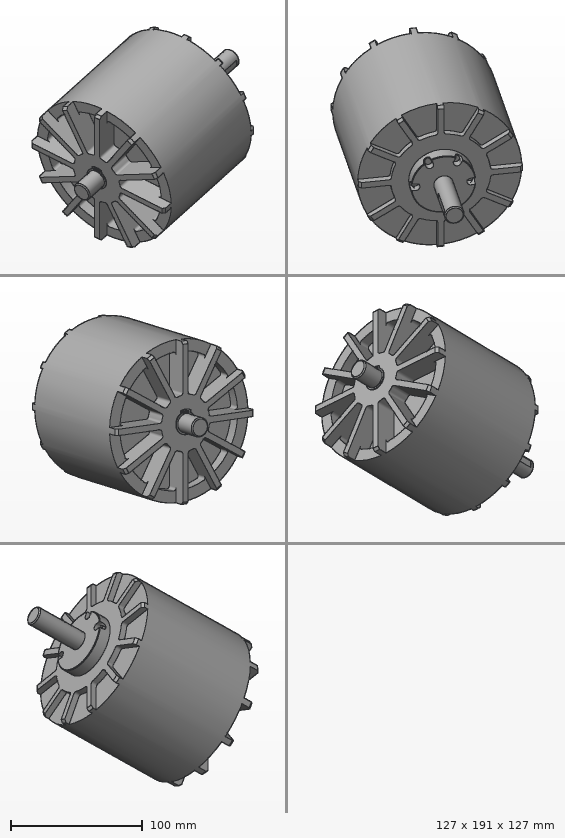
import cadquery as cq
import math

front_face_y = 19.9
body_length = 116.0
rear_face_y = front_face_y + body_length
total_length = 191.0

body_radius = 63.5
rim_chamfer = 2.1

rib_count = 12
rib_width = 5.0
gap_fillet = 2.1
front_hub_radius = 22.2
front_gap_depth = 9.2
front_pocket_depth = 18.3
pocket_outer_radius = 54.0
rear_hub_radius = 38.5
rear_gap_depth = 5.2
gap_cut_radius = 1.2 * body_radius

shaft_radius = 7.55
shaft_chamfer = 1.0
flat_depth = 0.5
flat_length = 25.2
flat_end_offset = 3.5

collar_radius = 25.0
collar_length = 10.1
collar_chamfer = 0.5
notch_width = 6.0
notch_center_depth = 3.0
notch_bore_position = 21.2
notch_angles = (0, 60, 120, 180)

ring_radius = 9.0
ring_thickness = 0.8
ear_radius = 10.9
ear_width = 8.8
ear_root_fillet = 1.0
ear_gap = 0.8
ear_hole_diameter = 1.7
ear_hole_x = 2.0
ear_hole_z = 8.5


def cylinder(radius, start_y, length):
    """Cylinder about the shaft axis, growing towards +Y."""
    return cq.Workplane("XZ", origin=(0, start_y, 0)).circle(radius).extrude(-length)


def rib_gap(inner_radius, outer_radius, start_y, depth):
    """Rounded sector between two neighbouring ribs, the first rib lying along +X."""
    half_pitch = math.pi / rib_count
    apex = (rib_width / 2 / math.tan(half_pitch), rib_width / 2)
    reach = 2 * outer_radius

    def on_ray(angle):
        return (apex[0] + reach * math.cos(angle), apex[1] + reach * math.sin(angle))

    wedge = (
        cq.Workplane("XZ", origin=(0, start_y, 0))
        .polyline([apex, on_ray(0), on_ray(2 * half_pitch)])
        .close()
        .extrude(-depth)
    )
    sector = wedge.intersect(cylinder(outer_radius, start_y, depth))
    sector = sector.cut(cylinder(inner_radius, start_y, depth))
    return sector.edges("|Y").fillet(gap_fillet)


def cut_around(body, tool):
    """Cut the tool once per rib pitch around the shaft axis."""
    for i in range(rib_count):
        body = body.cut(tool.rotate((0, 0, 0), (0, 1, 0), i * 360 / rib_count))
    return body


def make_drum():
    drum = cylinder(body_radius, front_face_y, body_length).faces("<Y or >Y").chamfer(rim_chamfer)
    front_gap = rib_gap(front_hub_radius, gap_cut_radius, front_face_y, front_gap_depth)
    front_pocket = rib_gap(front_hub_radius, pocket_outer_radius, front_face_y, front_pocket_depth)
    rear_gap = rib_gap(rear_hub_radius, gap_cut_radius, rear_face_y - rear_gap_depth, rear_gap_depth)
    for tool in (front_gap, front_pocket, rear_gap):
        drum = cut_around(drum, tool)
    return drum


def make_shaft():
    shaft = cylinder(shaft_radius, 0, total_length).faces("<Y or >Y").chamfer(shaft_chamfer)
    flat_center_y = total_length - flat_end_offset - flat_length / 2
    flat_tool = (
        cq.Workplane("YZ", origin=(shaft_radius - flat_depth, flat_center_y, 0))
        .rect(flat_length, 2 * shaft_radius)
        .extrude(shaft_radius)
    )
    return shaft.cut(flat_tool)


def make_collar():
    collar = cylinder(collar_radius, rear_face_y, collar_length).faces(">Y").chamfer(collar_chamfer)
    end_y = rear_face_y + collar_length
    bore_depth = notch_center_depth + notch_width / 2
    bore = (
        cq.Workplane("XZ", origin=(notch_bore_position, end_y - bore_depth, 0))
        .circle(notch_width / 2)
        .extrude(-bore_depth)
    )
    opening = (
        cq.Workplane("YZ", origin=(notch_bore_position, end_y, 0))
        .slot2D(2 * bore_depth, notch_width)
        .extrude(collar_radius)
    )
    notch = bore.union(opening)
    for angle in notch_angles:
        collar = collar.cut(notch.rotate((0, 0, 0), (0, 1, 0), -angle))
    return collar


def make_retaining_ring():
    start_y = front_face_y - ring_thickness
    plane = cq.Workplane("XZ", origin=(0, start_y, 0))
    ears = plane.center(0, ear_radius / 2).rect(ear_width, ear_radius).extrude(-ring_thickness)
    ears = ears.intersect(cylinder(ear_radius, start_y, ring_thickness))
    ring = cylinder(ring_radius, start_y, ring_thickness).union(ears)
    roots = cq.selectors.BoxSelector(
        (-ear_width, start_y - ring_thickness, ring_radius / 2),
        (ear_width, start_y + 2 * ring_thickness, ring_radius),
    )
    ring = ring.edges("|Y").edges(roots).fillet(ear_root_fillet)
    split = plane.center(0, ear_radius / 2).rect(ear_gap, ear_radius).extrude(-ring_thickness)
    holes = (
        plane.pushPoints([(-ear_hole_x, ear_hole_z), (ear_hole_x, ear_hole_z)])
        .circle(ear_hole_diameter / 2)
        .extrude(-ring_thickness)
    )
    return ring.cut(split).cut(holes)


result = make_drum().union(make_collar()).union(make_retaining_ring()).union(make_shaft())